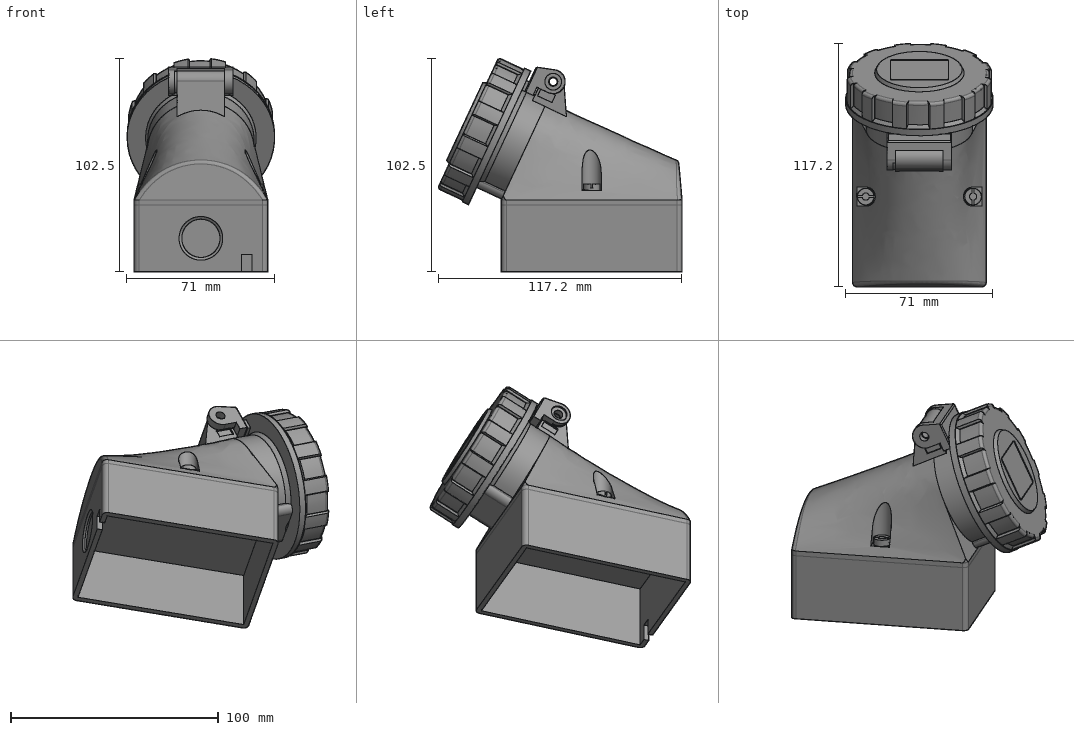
import cadquery as cq
import math

BOX_WIDTH = 64.4
BOX_DEPTH = 87.0
BOX_HEIGHT = 34.5
BOX_CORNER_RADIUS = 2.5
BOX_WALL = 2.5
LID_SEAM_Z = 32.1
KNOCKOUT_Z = 16.1
KNOCKOUT_DIAMETER = 21.0
KNOCKOUT_FLOOR_DIAMETER = 18.38
KNOCKOUT_BEVEL_DEPTH = 0.9
KNOCKOUT_DEPTH = 1.7
CABLE_SLOT_X = 22.1
CABLE_SLOT_WIDTH = 5.0
CABLE_SLOT_HEIGHT = 8.3

AXIS_TILT = 25.0
COLLAR_Y = 87.75
COLLAR_Z = 64.4
NECK_RADIUS = 25.6
FLANGE_RADIUS = 26.6
FLANGE_THICKNESS = 2.4
KEY_DROP = 26.3
KEY_WIDTH = 26.0
KEY_HEIGHT = 12.0
KEY_CORNER_RADIUS = 3.5

HOOD_FRONT_APEX_Z = 53.3
HOOD_FRONT_DRAFT = 5.0
HOOD_MIDDLE_APEX_Z = 72.0
HOOD_MIDDLE_RADIUS = 23.3
HOOD_CURVE_STEPS = 10
HOOD_EDGE_RADIUS = 2.3

SCREW_X = 25.8
SCREW_POCKET_DIAMETER = 9.2
SCREW_POCKET_FLOOR_Z = 39.0
SCREW_POCKET_OUTER_X = 30.0
SCREW_HEAD_DIAMETER = 8.0
SCREW_HEAD_HEIGHT = 3.2
SCREW_RECESS_DIAMETER = 3.45
SCREW_SLOT_WIDTH = 0.9
SCREW_SLOT_DEPTH = 2.0

COLLAR_RADIUS = 35.5
COLLAR_THICKNESS = 3.3
CAP_THICKNESS = 16.8
CAP_BODY_RADIUS = 33.7
CAP_EDGE_RADIUS = 1.5
CAP_FOOT_HEIGHT = 1.7
LUG_COUNT = 12
LUG_TURN = 1.0
LUG_ROOT_WIDTH = 7.8
LUG_TIP_WIDTH = 6.8
LUG_RADIUS = 35.1
DISC_DIAMETER = 43.0
DISC_FACE_DIAMETER = 41.2
DISC_HEIGHT = 1.8
LABEL_WIDTH = 28.0
LABEL_HEIGHT = 22.6
LABEL_DEPTH = 0.4
LABEL_CORNER_RADIUS = 1.0

PIN_ALONG = -11.9
PIN_UP = 35.35
BARREL_RADIUS = 5.2
EAR_RADIUS = 5.8
HINGE_WIDTH = 31.0
POST_WIDTH = 22.8
POST_BACK_DRAFT = 4.0
POST_FOOT_Z = 72.0
PLATE_FRONT = -1.5
PLATE_BACK = -6.0
PLATE_BOTTOM = 25.3
PLATE_TOP = 38.3
PLATE_CHAMFER = 0.6
EAR_GROOVE_WIDTH = 1.3
EAR_GROOVE_DEPTH = 0.4
TAB_WIDTH = 29.6
TAB_TOP = 30.5
TAB_THICKNESS = 1.6
PIN_BORE_DIAMETER = 3.7
EAR_BORE_DIAMETER = 4.4
EAR_COUNTERBORE_DIAMETER = 8.0
EAR_COUNTERBORE_DEPTH = 1.0
POST_POCKET_ALONG = (-15.6, -8.0)
POST_POCKET_UP = (26.0, 30.0)
POST_POCKET_DEPTH = 1.0

AXIS_COS = math.cos(math.radians(AXIS_TILT))
AXIS_SIN = math.sin(math.radians(AXIS_TILT))
COLLAR_CENTRE = cq.Vector(0, COLLAR_Y, COLLAR_Z)
AXIS = cq.Vector(0, AXIS_COS, AXIS_SIN)
UP = cq.Vector(0, -AXIS_SIN, AXIS_COS)

REAR_EDGE = cq.Vector(0, BOX_DEPTH, BOX_HEIGHT) - COLLAR_CENTRE
NECK_START = REAR_EDGE.dot(AXIS)
NECK_BASE_UP = REAR_EDGE.dot(UP)


def axis_point(x, along, up):
    """Point given by X and by its distances along and up from the collar centre."""
    return COLLAR_CENTRE + cq.Vector(x, 0, 0) + AXIS * along + UP * up


def across_axis(along):
    """Workplane square to the socket axis, with local Y pointing up."""
    return cq.Workplane(cq.Plane(axis_point(0, along, 0), xDir=(-1, 0, 0), normal=AXIS))


def beside_axis(x):
    """Workplane at X with local X along the socket axis and local Y up."""
    return cq.Workplane(cq.Plane(axis_point(x, 0, 0), xDir=AXIS, normal=(1, 0, 0)))


def box_block(z_bottom, z_top):
    return (
        cq.Workplane("XY", origin=(0, BOX_DEPTH / 2, z_bottom))
        .rect(BOX_WIDTH, BOX_DEPTH)
        .extrude(z_top - z_bottom)
        .edges("|Z")
        .fillet(BOX_CORNER_RADIUS)
    )


def make_box():
    cavity = (
        cq.Workplane("XY", origin=(0, BOX_DEPTH / 2, 0))
        .rect(BOX_WIDTH - 2 * BOX_WALL, BOX_DEPTH - 2 * BOX_WALL)
        .extrude(LID_SEAM_Z)
    )
    knockout_bevel = cq.Workplane(
        cq.Solid.makeCone(
            KNOCKOUT_DIAMETER / 2,
            KNOCKOUT_FLOOR_DIAMETER / 2,
            KNOCKOUT_BEVEL_DEPTH,
            pnt=cq.Vector(0, 0, KNOCKOUT_Z),
            dir=cq.Vector(0, 1, 0),
        )
    )
    knockout_bore = (
        cq.Workplane("XZ", origin=(0, 0, KNOCKOUT_Z))
        .circle(KNOCKOUT_FLOOR_DIAMETER / 2)
        .extrude(-KNOCKOUT_DEPTH)
    )
    cable_slot = (
        cq.Workplane("XY", origin=(CABLE_SLOT_X, 0, 0))
        .rect(CABLE_SLOT_WIDTH, 2 * BOX_WALL)
        .extrude(CABLE_SLOT_HEIGHT)
    )
    lower = box_block(0, LID_SEAM_Z).cut(cavity).cut(knockout_bevel).cut(knockout_bore).cut(cable_slot)
    return lower.union(box_block(LID_SEAM_Z, BOX_HEIGHT), clean=False)


def hood_section(foot_y, tilt, crown_height, arch_radius):
    """Closed section over the box: straight base, and one curve of flank, tangent arch and flank.

    The section plane stands on the box top at foot_y and leans towards -Y by the tilt.
    """
    half_width = BOX_WIDTH / 2
    arch_height = crown_height - arch_radius
    foot_distance = math.hypot(half_width, arch_height)
    flank_length = math.sqrt(max(foot_distance**2 - arch_radius**2, 0))
    touch_angle = math.atan2(flank_length, arch_radius) - math.atan2(arch_height, half_width)
    touch_x = arch_radius * math.cos(touch_angle)
    touch_height = arch_height + arch_radius * math.sin(touch_angle)
    half_length = flank_length + arch_radius * (math.pi / 2 - touch_angle)
    lean = math.radians(tilt)

    def curve_point(step):
        distance = half_length * (1 - abs(step) / HOOD_CURVE_STEPS)
        if distance < flank_length:
            share = distance / flank_length
            x = half_width + (touch_x - half_width) * share
            height = touch_height * share
        else:
            angle = touch_angle + (distance - flank_length) / arch_radius
            x = arch_radius * math.cos(angle)
            height = arch_height + arch_radius * math.sin(angle)
        y = foot_y - height * math.sin(lean)
        return cq.Vector(math.copysign(x, step), y, BOX_HEIGHT + height * math.cos(lean))

    points = [curve_point(step) for step in range(-HOOD_CURVE_STEPS, HOOD_CURVE_STEPS + 1)]
    parameters = [index / (len(points) - 1) for index in range(len(points))]
    curve = cq.Edge.makeSpline(points, parameters=parameters)
    return cq.Wire.assembleEdges([curve, cq.Edge.makeLine(points[-1], points[0])])


def make_hood():
    front_rise = HOOD_FRONT_APEX_Z - BOX_HEIGHT
    front_radius = ((BOX_WIDTH / 2) ** 2 + front_rise**2) / (2 * front_rise)
    sections = [
        hood_section(0, -HOOD_FRONT_DRAFT, front_rise, front_radius),
        hood_section(BOX_DEPTH / 2, 0, HOOD_MIDDLE_APEX_Z - BOX_HEIGHT, HOOD_MIDDLE_RADIUS),
        hood_section(BOX_DEPTH, AXIS_TILT, NECK_RADIUS - NECK_BASE_UP, NECK_RADIUS),
    ]
    hood = cq.Workplane(cq.Solid.makeLoft(sections))
    hood = hood.faces("<Y").edges(">Z").fillet(HOOD_EDGE_RADIUS)
    return hood.intersect(box_block(0, COLLAR_Z + COLLAR_RADIUS))


def make_neck():
    """Round neck with a conical flange under the collar and a round-cornered key along its underside."""
    neck = across_axis(NECK_START).circle(NECK_RADIUS).extrude(-NECK_START)
    flange = (
        across_axis(-FLANGE_THICKNESS)
        .circle(NECK_RADIUS)
        .workplane(offset=FLANGE_THICKNESS)
        .circle(FLANGE_RADIUS)
        .loft(ruled=True)
    )
    key = (
        across_axis(NECK_START)
        .center(0, KEY_HEIGHT / 2 - KEY_DROP)
        .sketch()
        .rect(KEY_WIDTH, KEY_HEIGHT)
        .vertices()
        .fillet(KEY_CORNER_RADIUS)
        .finalize()
        .extrude(-NECK_START)
    )
    return neck.union(flange).union(key)


def screw_pocket(side):
    pocket_height = HOOD_MIDDLE_APEX_Z
    base = cq.Workplane("XY", origin=(side * SCREW_X, BOX_DEPTH / 2, SCREW_POCKET_FLOOR_Z))
    bore = base.circle(SCREW_POCKET_DIAMETER / 2).extrude(pocket_height)
    reach = SCREW_POCKET_OUTER_X - SCREW_X
    outlet = base.center(side * reach / 2, 0).rect(reach, SCREW_POCKET_DIAMETER).extrude(pocket_height)
    return bore.union(outlet)


def screw_head(side, slot_angle):
    head_top = SCREW_POCKET_FLOOR_Z + SCREW_HEAD_HEIGHT
    centre = (side * SCREW_X, BOX_DEPTH / 2)
    head = (
        cq.Workplane("XY", origin=(*centre, SCREW_POCKET_FLOOR_Z))
        .circle(SCREW_HEAD_DIAMETER / 2)
        .extrude(SCREW_HEAD_HEIGHT)
    )
    drive = cq.Workplane("XY", origin=(*centre, head_top))
    recess = drive.circle(SCREW_RECESS_DIAMETER / 2).extrude(-SCREW_SLOT_DEPTH)
    slot = (
        drive.transformed(rotate=(0, 0, slot_angle))
        .rect(SCREW_HEAD_DIAMETER, SCREW_SLOT_WIDTH)
        .extrude(-SCREW_SLOT_DEPTH)
    )
    return head.cut(recess).cut(slot)


def make_cap():
    grip_height = CAP_THICKNESS - COLLAR_THICKNESS
    collar = across_axis(0).circle(COLLAR_RADIUS).extrude(COLLAR_THICKNESS)
    foot = (
        across_axis(COLLAR_THICKNESS)
        .circle(LUG_RADIUS)
        .workplane(offset=CAP_FOOT_HEIGHT)
        .circle(CAP_BODY_RADIUS)
        .loft(ruled=True)
    )

    def rounded_drum(radius):
        drum = across_axis(COLLAR_THICKNESS).circle(radius).extrude(grip_height)
        return drum.faces(cq.selectors.DirectionMinMaxSelector(AXIS)).edges().fillet(CAP_EDGE_RADIUS)

    cap = collar.union(foot).union(rounded_drum(CAP_BODY_RADIUS))
    lug_drum = rounded_drum(LUG_RADIUS)
    lug_outline = [
        (-LUG_ROOT_WIDTH / 2, 0),
        (LUG_ROOT_WIDTH / 2, 0),
        (LUG_ROOT_WIDTH / 2, CAP_BODY_RADIUS),
        (LUG_TIP_WIDTH / 2, LUG_RADIUS),
        (-LUG_TIP_WIDTH / 2, LUG_RADIUS),
        (-LUG_ROOT_WIDTH / 2, CAP_BODY_RADIUS),
    ]
    pitch = 360 / LUG_COUNT
    for index in range(LUG_COUNT):
        wedge = (
            across_axis(COLLAR_THICKNESS)
            .transformed(rotate=(0, 0, (index + 0.5) * pitch - LUG_TURN))
            .polyline(lug_outline)
            .close()
            .extrude(grip_height)
        )
        cap = cap.union(lug_drum.intersect(wedge))

    disc = (
        across_axis(CAP_THICKNESS)
        .circle(DISC_DIAMETER / 2)
        .workplane(offset=DISC_HEIGHT)
        .circle(DISC_FACE_DIAMETER / 2)
        .loft(ruled=True)
    )
    label = (
        across_axis(CAP_THICKNESS + DISC_HEIGHT)
        .sketch()
        .rect(LABEL_WIDTH, LABEL_HEIGHT)
        .vertices()
        .fillet(LABEL_CORNER_RADIUS)
        .finalize()
        .extrude(-LABEL_DEPTH)
    )
    return cap.union(disc).cut(label)


def make_post():
    """Hinge post on the hood with a barrel round the pin, front square to the axis, back drafted."""
    pin = axis_point(0, PIN_ALONG, PIN_UP)
    front_top = axis_point(0, PIN_ALONG + BARREL_RADIUS, PIN_UP)
    front_foot = axis_point(0, PIN_ALONG + BARREL_RADIUS, 0)
    draft = math.radians(POST_BACK_DRAFT)
    back_top_y = pin.y - BARREL_RADIUS * math.cos(draft)
    back_top_z = pin.z + BARREL_RADIUS * math.sin(draft)
    back_foot_y = back_top_y - (back_top_z - POST_FOOT_Z) * math.tan(draft)
    side = cq.Workplane("YZ", origin=(-POST_WIDTH / 2, 0, 0))
    upright = (
        side.moveTo(pin.y, pin.z)
        .lineTo(front_top.y, front_top.z)
        .lineTo(front_foot.y, front_foot.z)
        .lineTo(back_foot_y, POST_FOOT_Z)
        .lineTo(back_top_y, back_top_z)
        .close()
        .extrude(POST_WIDTH)
    )
    barrel = beside_axis(-POST_WIDTH / 2).center(PIN_ALONG, PIN_UP).circle(BARREL_RADIUS).extrude(POST_WIDTH)
    post = upright.union(barrel)
    along_start, along_end = POST_POCKET_ALONG
    up_start, up_end = POST_POCKET_UP
    for start_x in (-POST_WIDTH / 2, POST_WIDTH / 2 - POST_POCKET_DEPTH):
        pocket = (
            beside_axis(start_x)
            .moveTo(along_start, up_start)
            .lineTo(along_end, up_start)
            .lineTo(along_end, up_end)
            .lineTo(along_start, up_end)
            .close()
            .extrude(POST_POCKET_DEPTH)
        )
        post = post.cut(pocket)
    return post


def make_bracket():
    """Hinge plate behind the collar with an ear on each side of the post, joined to it by a tab."""
    rise = PLATE_TOP - PIN_UP
    run = PLATE_FRONT - PIN_ALONG
    touch_angle = math.atan2(rise, run) + math.acos(EAR_RADIUS / math.hypot(rise, run))
    touch_along = PIN_ALONG + EAR_RADIUS * math.cos(touch_angle)
    touch_up = PIN_UP + EAR_RADIUS * math.sin(touch_angle)
    ear_bottom = PIN_UP - EAR_RADIUS
    bracket = (
        beside_axis(-HINGE_WIDTH / 2)
        .moveTo(PLATE_FRONT, PLATE_TOP)
        .lineTo(touch_along, touch_up)
        .threePointArc((PIN_ALONG - EAR_RADIUS, PIN_UP), (PIN_ALONG, ear_bottom))
        .lineTo(PLATE_BACK, ear_bottom)
        .lineTo(PLATE_BACK, PLATE_BOTTOM)
        .lineTo(PLATE_FRONT, PLATE_BOTTOM)
        .close()
        .extrude(HINGE_WIDTH)
    )
    front_edges = bracket.faces(cq.selectors.DirectionMinMaxSelector(AXIS)).edges()
    bracket = front_edges.chamfer(PLATE_CHAMFER)
    gap_length = PLATE_BACK - PIN_ALONG + 2 * EAR_RADIUS
    post_gap = (
        beside_axis(-POST_WIDTH / 2)
        .center(PLATE_BACK - gap_length / 2, PIN_UP)
        .rect(gap_length, 4 * EAR_RADIUS)
        .extrude(POST_WIDTH)
    )
    groove = (
        beside_axis(-POST_WIDTH / 2 - EAR_GROOVE_WIDTH)
        .center(PIN_ALONG - EAR_RADIUS, PIN_UP)
        .rect(2 * EAR_RADIUS, 2 * EAR_RADIUS)
        .extrude(EAR_GROOVE_WIDTH)
    )
    groove_floor = (
        beside_axis(-POST_WIDTH / 2 - EAR_GROOVE_WIDTH)
        .center(PIN_ALONG, PIN_UP)
        .circle(EAR_RADIUS - EAR_GROOVE_DEPTH)
        .extrude(EAR_GROOVE_WIDTH)
    )
    tab = (
        across_axis(-TAB_THICKNESS)
        .center(0, (PLATE_BOTTOM + TAB_TOP) / 2)
        .rect(TAB_WIDTH, TAB_TOP - PLATE_BOTTOM)
        .extrude(TAB_THICKNESS)
    )
    return bracket.cut(post_gap).cut(groove.cut(groove_floor)).union(tab)


def pin_bores():
    def bore(start_x, diameter, length):
        return beside_axis(start_x).center(PIN_ALONG, PIN_UP).circle(diameter / 2).extrude(length)

    half_width = HINGE_WIDTH / 2
    ear_width = half_width - POST_WIDTH / 2
    return (
        bore(-half_width, PIN_BORE_DIAMETER, HINGE_WIDTH)
        .union(bore(-half_width, EAR_BORE_DIAMETER, ear_width))
        .union(bore(half_width - ear_width, EAR_BORE_DIAMETER, ear_width))
        .union(bore(-half_width, EAR_COUNTERBORE_DIAMETER, EAR_COUNTERBORE_DEPTH))
    )


hood = make_hood().cut(screw_pocket(-1)).cut(screw_pocket(1))
hood = hood.union(screw_head(-1, 0)).union(screw_head(1, 90))
upper = hood.union(make_neck()).union(make_post()).union(make_cap()).union(make_bracket()).cut(pin_bores())
result = make_box().union(upper, clean=False)